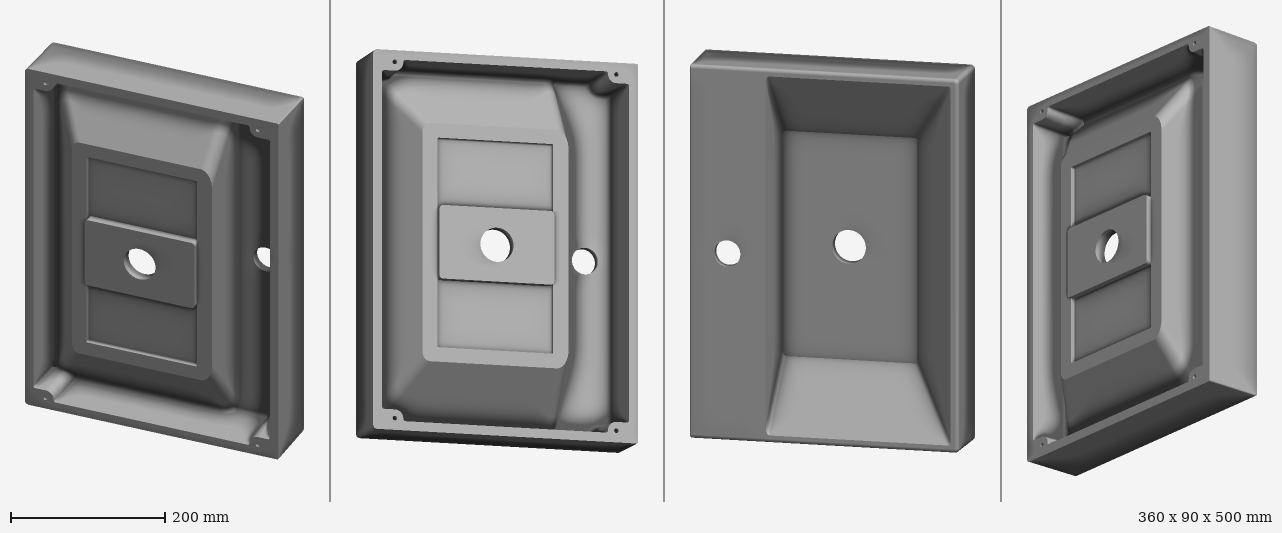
import cadquery as cq
import math

WIDTH = 360.0
HEIGHT = 500.0
TOTAL_DEPTH = 90.0
PAD_RISE = 7.0
BODY_DEPTH = TOTAL_DEPTH - PAD_RISE
OUTER_DRAFT = 1.0
FRONT_CORNER_RADIUS = 5.5
WALL_SIDE_CORNER_RADIUS = 2.0
UPPER_EDGE_RADIUS = 5.0

CORNERS = [(sx, sz) for sx in (-1, 1) for sz in (-1, 1)]
TOLERANCE = 0.01
OVERLAP = 5.0

WALL = 12.2
POCKET_HALF_WIDTH = WIDTH / 2 - WALL
POCKET_HALF_HEIGHT = HEIGHT / 2 - WALL
DECK_THICKNESS = 12.0
HOLLOW_DEPTH = BODY_DEPTH - DECK_THICKNESS
INNER_DRAFT = 3.0
HOLLOW_FILLET = 5.0
HOLLOW_CORNER_RADIUS = 3.0

MOUNT_X = 150.5
MOUNT_Z = 234.5
MOUNT_HOLE_DIAMETER = 6.0
MOUNT_HOLE_DEPTH = 20.0
MOUNT_BOSS_RADIUS = 11.5

BOTTOM_LEFT = -113.0
BOTTOM_RIGHT = 85.5
BOTTOM_HALF_HEIGHT = 157.0
LEFT_SLOPE = 40.0
END_SLOPE = 50.0
BOWL_CORNER_RADIUS = 17.0
BOWL_WALL = 11.0
BOSS_BLEND = 3.0
BOWL_FLOOR = 8.5

DRAIN_X = -14.0
DRAIN_DIAMETER = 45.0
PAD_WIDTH = 156.0
PAD_HEIGHT = 97.0
PAD_CORNER_RADIUS = 5.0
RECESS_WIDTH = 157.0
RECESS_HEIGHT = 276.0
RECESS_DEPTH = 5.0
RECESS_FILLET = 2.0

TAP_X = 130.0
TAP_DIAMETER = 35.0


def rise(angle, depth):
    """Sideways shift of a face leaning by angle over the given depth."""
    return depth * math.tan(math.radians(angle))


def plane_at(y):
    """XZ sketch plane at the given Y, extruding towards +Y, local y = -Z."""
    return cq.Workplane(cq.Plane(origin=(0, y, 0), xDir=(1, 0, 0), normal=(0, 1, 0)))


def outer_body():
    """Solid body drafted on three sides, square to the upper face at its flat +X side."""
    body = (
        plane_at(0)
        .center(WIDTH / 2, 0)
        .rect(2 * WIDTH, HEIGHT)
        .extrude(BODY_DEPTH, taper=OUTER_DRAFT)
    )
    beyond = cq.Workplane().box(2 * WIDTH, 2 * TOTAL_DEPTH, 2 * HEIGHT)
    body = body.cut(beyond.translate((WIDTH * 1.5, TOTAL_DEPTH, 0)))
    body = body.faces("<X").edges("not(|Z)").fillet(FRONT_CORNER_RADIUS)
    body = body.faces(">Y").edges("not(>X)").fillet(UPPER_EDGE_RADIUS)
    return body.faces(">X").edges("(<Z or >Z)").fillet(WALL_SIDE_CORNER_RADIUS)


def bowl_flare(start, end, inset, corner_radius):
    """Flaring bowl shape between two depths, its sides moved in by inset."""
    left_inset = inset / math.cos(math.radians(LEFT_SLOPE))
    end_inset = inset / math.cos(math.radians(END_SLOPE))
    lefts = [BOTTOM_LEFT - rise(LEFT_SLOPE, y) + left_inset for y in (start, end)]
    rights = [BOTTOM_RIGHT + rise(INNER_DRAFT, y) - inset for y in (start, end)]
    halves = [BOTTOM_HALF_HEIGHT + rise(END_SLOPE, y) - end_inset for y in (start, end)]
    across = (
        cq.Workplane("XY")
        .polyline([(lefts[0], start), (rights[0], start), (rights[1], end), (lefts[1], end)])
        .close()
        .extrude(HEIGHT, both=True)
    )
    along = (
        cq.Workplane("YZ")
        .polyline([(start, -halves[0]), (start, halves[0]), (end, halves[1]), (end, -halves[1])])
        .close()
        .extrude(WIDTH, both=True)
    )
    flare = across.intersect(along)
    return flare.edges("not(#Y or |X or |Z)").fillet(corner_radius)


def mount_boss(sx, sz):
    """Corner boss standing below the deck round one mounting hole, widening upwards."""
    reach = MOUNT_BOSS_RADIUS
    k = reach * math.sqrt(0.5)
    inner_x = sx * (MOUNT_X - reach)
    inner_z = sz * (MOUNT_Z - reach)
    outer_x = sx * WIDTH / 2
    outer_z = sz * HEIGHT / 2
    return (
        plane_at(0)
        .moveTo(inner_x, -outer_z)
        .lineTo(inner_x, -sz * MOUNT_Z)
        .threePointArc((sx * (MOUNT_X - k), -sz * (MOUNT_Z - k)), (sx * MOUNT_X, -inner_z))
        .lineTo(outer_x, -inner_z)
        .lineTo(outer_x, -outer_z)
        .close()
        .extrude(HOLLOW_DEPTH + OVERLAP, taper=-INNER_DRAFT)
    )


def plain_pocket():
    """Drafted rectangular pocket reaching from the rim to the deck."""
    return (
        plane_at(0)
        .rect(2 * POCKET_HALF_WIDTH, 2 * POCKET_HALF_HEIGHT)
        .extrude(HOLLOW_DEPTH, taper=INNER_DRAFT)
    )


def touches_wall(point):
    """True for a point lying on a side wall of the pocket."""
    drift = rise(INNER_DRAFT, point.y)
    gap_x = abs(POCKET_HALF_WIDTH - drift - abs(point.x))
    gap_z = abs(POCKET_HALF_HEIGHT - drift - abs(point.z))
    return min(gap_x, gap_z) < TOLERANCE


def stepped_pocket():
    """Pocket with the corner bosses left standing and its inside corners rounded."""
    pocket = plain_pocket()
    for sx, sz in CORNERS:
        pocket = pocket.cut(mount_boss(sx, sz))
    upright = pocket.edges("not(#Y or |X or |Z)")
    beside_bosses = upright.filter(lambda edge: touches_wall(edge.Center()))
    pocket = pocket.newObject(beside_bosses.vals()).fillet(HOLLOW_CORNER_RADIUS)
    return pocket.faces(">Y").edges().fillet(HOLLOW_FILLET)


def side_wall(x, z):
    """Large block centred at the given place, its sides drafted like the pocket walls."""
    return (
        plane_at(0)
        .center(x, -z)
        .rect(2 * WIDTH, 2 * HEIGHT)
        .extrude(HOLLOW_DEPTH + OVERLAP, taper=-INNER_DRAFT)
    )


def lies_on(edge, solid):
    """True when the middle of the edge touches the skin of the solid."""
    middle = cq.Vertex.makeVertex(*edge.positionAt(0.5).toTuple())
    return min(face.distance(middle) for face in solid.faces().vals()) < TOLERANCE


def blend_with_bowl(block, flare, radius):
    """Join a block to the bowl and round the valley between them."""
    joined = block.union(flare)
    valley = joined.edges().filter(
        lambda edge: lies_on(edge, block) and lies_on(edge, flare)
    )
    return joined.newObject(valley.vals()).fillet(radius)


def hollow():
    """Empty space on the underside, round the bowl and the corner bosses."""
    flare = bowl_flare(-OVERLAP, HOLLOW_DEPTH + OVERLAP, 0, BOWL_CORNER_RADIUS)
    deck = cq.Workplane().box(3 * WIDTH, DECK_THICKNESS, 3 * HEIGHT)
    blocks = [
        (deck.translate((0, HOLLOW_DEPTH + DECK_THICKNESS / 2, 0)), HOLLOW_FILLET),
        (side_wall(-POCKET_HALF_WIDTH - WIDTH, 0), HOLLOW_FILLET),
        (side_wall(0, POCKET_HALF_HEIGHT + HEIGHT), HOLLOW_FILLET),
        (side_wall(0, -POCKET_HALF_HEIGHT - HEIGHT), HOLLOW_FILLET),
        (mount_boss(-1, 1), BOSS_BLEND),
        (mount_boss(-1, -1), BOSS_BLEND),
    ]
    space = stepped_pocket()
    for block, radius in blocks:
        space = space.cut(blend_with_bowl(block, flare, radius))
    return space


def cylinder_along_y(x, z, diameter, start, length):
    """Round bar along +Y used for the holes."""
    return plane_at(start).center(x, -z).circle(diameter / 2).extrude(length)


def drain_recess():
    """Shallow rounded recess in the bottom of the bowl."""
    return (
        plane_at(0)
        .center(DRAIN_X, 0)
        .rect(RECESS_WIDTH, RECESS_HEIGHT)
        .extrude(RECESS_DEPTH)
        .edges("|Y or >Y")
        .fillet(RECESS_FILLET)
    )


def drain_pad():
    """Raised pad round the drain, rooted just below the recess floor."""
    root = 1.0
    return (
        plane_at(-PAD_RISE)
        .center(DRAIN_X, 0)
        .rect(PAD_WIDTH, PAD_HEIGHT)
        .extrude(PAD_RISE + RECESS_DEPTH + root)
        .edges("|Y")
        .fillet(PAD_CORNER_RADIUS)
    )


def bowl_inside():
    """Open inside of the bowl, running out through the upper face."""
    inner_radius = BOWL_CORNER_RADIUS - BOWL_WALL
    return bowl_flare(BOWL_FLOOR, BODY_DEPTH + OVERLAP, BOWL_WALL, inner_radius)


def build():
    """Complete basin."""
    body = outer_body().cut(hollow())
    body = body.cut(drain_recess()).union(drain_pad()).cut(bowl_inside())
    body = body.cut(cylinder_along_y(DRAIN_X, 0, DRAIN_DIAMETER, -PAD_RISE, TOTAL_DEPTH))
    body = body.cut(cylinder_along_y(TAP_X, 0, TAP_DIAMETER, 0, TOTAL_DEPTH))
    for sx, sz in CORNERS:
        hole = cylinder_along_y(sx * MOUNT_X, sz * MOUNT_Z, MOUNT_HOLE_DIAMETER, 0, MOUNT_HOLE_DEPTH)
        body = body.cut(hole)
    return body


result = build()